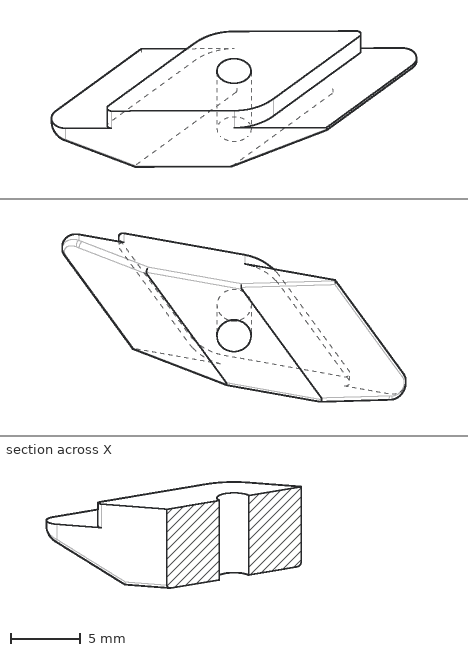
import cadquery as cq
import math

length_y = 23.33
width_x = 14.98
base_height = 4.22
tip_radius = 1.0

bottom_width = 5.0
end_land = 0.35
lower_edge_radius = 0.3

boss_width = 7.93
boss_height = 1.77
boss_tip_radius = 0.3
boss_blunt_radius = 3.97

hole_diameter = 2.45

diagonal_offset = length_y / 2 - width_x / 2 + tip_radius * math.sqrt(2)


def parallelogram_prism(width, height):
    """Prism between x = +-width/2 and the lines y = x +- diagonal_offset."""
    half = width / 2
    return (
        cq.Workplane("XY")
        .polyline([
            (-half, -half - diagonal_offset),
            (half, half - diagonal_offset),
            (half, half + diagonal_offset),
            (-half, -half + diagonal_offset),
        ])
        .close()
        .extrude(height)
    )


def make_base():
    half = width_x / 2
    half_bottom = bottom_width / 2
    land_z = base_height - end_land
    plate = parallelogram_prism(width_x, base_height)
    plate = plate.edges("|Z").edges("<Y or >Y").fillet(tip_radius)

    profile = (
        cq.Workplane("XZ")
        .polyline([
            (-half_bottom, 0),
            (half_bottom, 0),
            (half, land_z),
            (half, base_height),
            (-half, base_height),
            (-half, land_z),
        ])
        .close()
        .extrude(length_y, both=True)
    )
    base = plate.intersect(profile)

    upright_edges = base.edges("|Z").vals()
    top_edges = base.faces(">Z").edges().vals()
    creases = base.faces("<Z").edges("|Y").vals()
    sharp_edges = upright_edges + top_edges + creases
    rim = base.newObject([edge for edge in base.edges().vals() if edge not in sharp_edges])
    return rim.fillet(lower_edge_radius)


def make_boss():
    boss = parallelogram_prism(boss_width, boss_height)
    boss = boss.edges("|Z").edges("not (<Y or >Y)").fillet(boss_blunt_radius)
    boss = boss.edges("|Z").edges("<Y or >Y").fillet(boss_tip_radius)
    return boss.translate((0, 0, base_height))


hole = cq.Workplane("XY").circle(hole_diameter / 2).extrude(base_height + boss_height)
result = make_base().union(make_boss()).cut(hole)